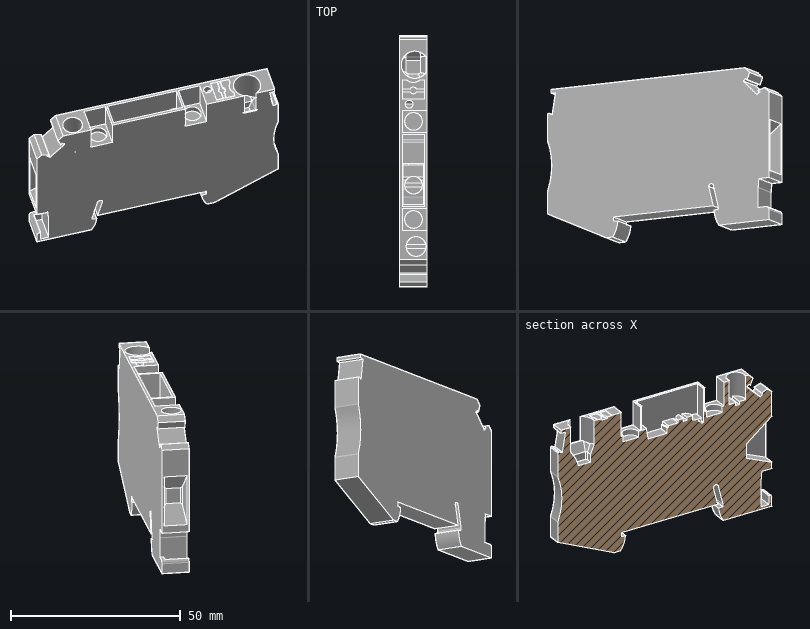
import cadquery as cq
import math

THICKNESS = 8.15
LENGTH = 73.9
HEIGHT = 46.5

RAIL_Z = 6.0
RAIL_REAR_Y = 51.85
RAIL_LIP_TIP_Z = 4.65
RAIL_LIP_ROOT_Z = 4.85
FOOT_LEDGE_Z = 4.0
FOOT_TIP_RADIUS = 0.9
FOOT_NOTCH_Y = 3.6
FOOT_GROOVE_DEPTH = 3.0
FOOT_GROOVE_Y = 1.15
FOOT_GROOVE_X = 1.1
CAP_REAR_Y = 72.8
GRIP_TOP_Z = 31.1
GRIP_BOTTOM_Z = 16.0
GRIP_DEPTH = 1.37

SIDE_WALL = 0.85
CHAMBER_X_END = 7.33
SCREW_X = 4.15
SLOT_WIDTH = 1.15
SLOT_DEPTH = 1.0

SIDE_POCKET_LENGTH = 6.5
SIDE_POCKET_DEPTH = 8.0
SIDE_POCKET_CENTERS = (48.7, 19.85)
POCKET_HOLE_DIAMETER = 5.2
POCKET_HOLE_DEPTH = 2.0

CHAMBER_FRONT_Y = 23.7
CHAMBER_REAR_Y = 44.85
CHAMBER_STEP_Y = 43.2
CHAMBER_STEP_RUN = 0.6
CHAMBER_LEDGE_Z = 38.5
CHAMBER_FLOOR_Z = 35.0
CLAMP_GAP = 0.25
CLAMP_FRONT_Y = 24.3
CLAMP_REAR_Y = 35.8
CLAMP_LIP_LENGTH = 0.45
CLAMP_LIP_Z = 36.5
CLAMP_TAB_WIDTH = 2.9
CLAMP_TAB_RISE = 0.3
CLAMP_SCREW_Y = 29.95
CLAMP_SCREW_TOP_Z = 38.4
CLAMP_SCREW_DIAMETER = 5.2

FRONT_SCREW_X = 4.9
FRONT_SCREW_Y = 11.9
FRONT_SCREW_DIAMETER = 5.8
FRONT_SCREW_DEPTH = 8.0

WELL_X = 4.55
WELL_Y = 65.35
WELL_DIAMETER = 8.0
WELL_DEPTH = 8.0
REAR_FUNNEL_DEPTH = 3.0
REAR_FUNNEL_RIM_X = (-0.7, 7.8)
REAR_FUNNEL_END_X = (2.0, 6.2)
REAR_FUNNEL_RIM_Y = (61.3, 69.5)
REAR_FUNNEL_END_Y = (62.65, 67.6)
REAR_FUNNEL_RIM_RADIUS = 4.5
REAR_FUNNEL_TIP_RADIUS = 3.1
WIRE_HOLE_DEPTH = 2.6
WIRE_HOLE_REAR_Y = 66.65

PLATE_FRONT_Y = 55.25
PLATE_REAR_Y = 60.85
PLATE_RECESS = 0.1
PLATE_NOTCH_WIDTH = 3.8
PLATE_NOTCH_DEPTH = 0.7
PLATE_SLOT_Y = 57.8
PLATE_SLOT_WIDTH = 0.9
PLATE_SLOT_DEPTH = 0.6
PLATE_HOLE_DIAMETER = 2.0
TEST_HOLE_X = 2.87
TEST_HOLE_Y = 53.75
TEST_HOLE_DIAMETER = 2.3
TEST_HOLE_DEPTH = 3.0
TEST_HOLE_SLOPE_RISE = 2.0

FUNNEL_DEPTH = 8.7
FUNNEL_RIM_X = (0.7, 7.5)
FUNNEL_END_X = (2.7, 7.0)
FUNNEL_RIM_Z = (14.9, 30.2)
FUNNEL_END_Z = (18.7, 23.4)
FUNNEL_LEFT_START = 0.62 * FUNNEL_DEPTH
FUNNEL_RIGHT_START = 0.92 * FUNNEL_DEPTH


def extrude_along_x(outline, x_start, x_end):
    """Extrude a closed YZ workplane outline between two X positions."""
    return outline.extrude(x_end - x_start).translate((x_start, 0, 0))


def box(x_range, y_range, z_range):
    """Axis-aligned box from its (start, end) ranges."""
    ranges = (x_range, y_range, z_range)
    sizes = [end - start for start, end in ranges]
    corner = tuple(start for start, _ in ranges)
    return cq.Workplane("XY").box(*sizes, centered=False).translate(corner)


def cylinder(x, y, diameter, z_bottom, z_top):
    """Upright cylinder between two heights."""
    circle = cq.Workplane("XY", origin=(x, y, z_bottom)).circle(diameter / 2)
    return circle.extrude(z_top - z_bottom)


def screw_slot(x, y, diameter, z_top):
    """Screwdriver slot along X, ending at the rim of the screw head."""
    head = cylinder(x, y, diameter, z_top - SLOT_DEPTH, z_top)
    strip = cq.Workplane("XY", origin=(x, y, z_top)).box(diameter, SLOT_WIDTH, 2 * SLOT_DEPTH)
    return head.intersect(strip)


def make_housing():
    grip_middle = (LENGTH - GRIP_DEPTH, (GRIP_TOP_Z + GRIP_BOTTOM_Z) / 2)
    tip_corner = FOOT_TIP_RADIUS * (1 - math.cos(math.pi / 4))
    outline = (
        cq.Workplane("YZ")
        .moveTo(0, 0)
        .lineTo(0, FOOT_LEDGE_Z - FOOT_TIP_RADIUS)
        .threePointArc((tip_corner, FOOT_LEDGE_Z - tip_corner), (FOOT_TIP_RADIUS, FOOT_LEDGE_Z))
        .lineTo(FOOT_NOTCH_Y, FOOT_LEDGE_Z)
        .lineTo(FOOT_NOTCH_Y, 10.0)
        .lineTo(3.35, 12.65)
        .lineTo(0, 12.65)
        .lineTo(0, 38.55)
        .lineTo(1.5, 39.9)
        .lineTo(3.7, 39.15)
        .lineTo(3.2, 38.7)
        .lineTo(4.05, 38.0)
        .lineTo(8.55, 42.5)
        .lineTo(7.8, 43.15)
        .lineTo(7.3, 42.7)
        .lineTo(6.45, 44.9)
        .lineTo(8.05, HEIGHT)
        .lineTo(CAP_REAR_Y, HEIGHT)
        .lineTo(CAP_REAR_Y, 45.4)
        .lineTo(71.3, 45.2)
        .lineTo(72.35, 38.95)
        .lineTo(73.45, 39.4)
        .lineTo(LENGTH, 39.25)
        .lineTo(LENGTH, GRIP_TOP_Z)
        .threePointArc(grip_middle, (LENGTH, GRIP_BOTTOM_Z))
        .lineTo(LENGTH, 9.1)
        .lineTo(54.4, 0)
        .lineTo(52.15, 0)
        .threePointArc((51.0, 2.1), (50.4, RAIL_LIP_TIP_Z))
        .lineTo(RAIL_REAR_Y, RAIL_LIP_ROOT_Z)
        .lineTo(RAIL_REAR_Y, RAIL_Z)
        .lineTo(18.6, RAIL_Z)
        .lineTo(20.1, 12.0)
        .threePointArc((19.5, 12.7), (18.6, 12.3))
        .lineTo(16.95, 5.6)
        .lineTo(16.95, RAIL_LIP_ROOT_Z)
        .lineTo(18.35, RAIL_LIP_TIP_Z)
        .threePointArc((17.9, 2.3), (16.75, 0))
        .close()
    )
    return extrude_along_x(outline, 0, THICKNESS)


def make_foot_groove():
    """Groove between the foot tip and the notch wall, closed at minimum X by a thin web."""
    return box(
        (FOOT_GROOVE_X, THICKNESS),
        (FOOT_GROOVE_Y, FOOT_NOTCH_Y),
        (FOOT_LEDGE_Z - FOOT_GROOVE_DEPTH, FOOT_LEDGE_Z),
    )


def make_side_pocket(y_center):
    """Pocket open at maximum X, with a blind round hole in its floor."""
    floor_z = HEIGHT - SIDE_POCKET_DEPTH
    half_length = SIDE_POCKET_LENGTH / 2
    pocket = box(
        (SIDE_WALL, THICKNESS),
        (y_center - half_length, y_center + half_length),
        (floor_z, HEIGHT),
    )
    return pocket.union(
        cylinder(SCREW_X, y_center, POCKET_HOLE_DIAMETER, floor_z - POCKET_HOLE_DEPTH, floor_z)
    )


def make_chamber():
    """Central chamber with a raised ledge at its rear end."""
    outline = (
        cq.Workplane("YZ")
        .moveTo(CHAMBER_FRONT_Y, HEIGHT)
        .lineTo(CHAMBER_FRONT_Y, CHAMBER_FLOOR_Z)
        .lineTo(CHAMBER_STEP_Y - CHAMBER_STEP_RUN, CHAMBER_FLOOR_Z)
        .lineTo(CHAMBER_STEP_Y, CHAMBER_LEDGE_Z)
        .lineTo(CHAMBER_REAR_Y, CHAMBER_LEDGE_Z)
        .lineTo(CHAMBER_REAR_Y, HEIGHT)
        .close()
    )
    return extrude_along_x(outline, SIDE_WALL, CHAMBER_X_END)


def make_clamp():
    """Clamp body stepping down to the front, with a slotted screw head on top."""
    outline = (
        cq.Workplane("YZ")
        .moveTo(CLAMP_FRONT_Y, CHAMBER_FLOOR_Z)
        .lineTo(CLAMP_FRONT_Y, 36.7)
        .lineTo(26.4, 36.7)
        .lineTo(28.6, 37.0)
        .lineTo(31.5, 37.0)
        .lineTo(32.4, 37.4)
        .lineTo(CLAMP_REAR_Y, 37.4)
        .lineTo(CLAMP_REAR_Y, CLAMP_LIP_Z)
        .lineTo(CLAMP_REAR_Y + CLAMP_LIP_LENGTH, CLAMP_LIP_Z)
        .lineTo(CLAMP_REAR_Y + CLAMP_LIP_LENGTH, CHAMBER_FLOOR_Z)
        .close()
    )
    body = extrude_along_x(outline, SIDE_WALL + CLAMP_GAP, CHAMBER_X_END - CLAMP_GAP)
    tab_center = (SIDE_WALL + CHAMBER_X_END) / 2
    tab = box(
        (tab_center - CLAMP_TAB_WIDTH / 2, tab_center + CLAMP_TAB_WIDTH / 2),
        (CLAMP_REAR_Y, CLAMP_REAR_Y + CLAMP_LIP_LENGTH),
        (CHAMBER_FLOOR_Z, CLAMP_LIP_Z + CLAMP_TAB_RISE),
    )
    head = cylinder(
        SCREW_X, CLAMP_SCREW_Y, CLAMP_SCREW_DIAMETER, CHAMBER_FLOOR_Z, CLAMP_SCREW_TOP_Z
    )
    slot = screw_slot(SCREW_X, CLAMP_SCREW_Y, CLAMP_SCREW_DIAMETER, CLAMP_SCREW_TOP_Z)
    return body.union(tab).union(head).cut(slot)


def make_front_screw_well():
    head_z = HEIGHT - FRONT_SCREW_DEPTH
    well = cylinder(FRONT_SCREW_X, FRONT_SCREW_Y, FRONT_SCREW_DIAMETER, head_z, HEIGHT)
    return well.union(screw_slot(FRONT_SCREW_X, FRONT_SCREW_Y, FRONT_SCREW_DIAMETER, head_z))


def make_rear_entry():
    """Round well, a four-sided funnel rounded by a cone, and a square wire hole."""
    rim_z = HEIGHT - WELL_DEPTH
    end_z = rim_z - REAR_FUNNEL_DEPTH
    hole_z = end_z - WIRE_HOLE_DEPTH
    well = cylinder(WELL_X, WELL_Y, WELL_DIAMETER, rim_z, HEIGHT)

    x_walls = (
        cq.Workplane("XZ")
        .polyline([
            (REAR_FUNNEL_RIM_X[0], rim_z),
            (REAR_FUNNEL_END_X[0], end_z),
            (REAR_FUNNEL_END_X[1], end_z),
            (REAR_FUNNEL_RIM_X[1], rim_z),
        ])
        .close()
        .extrude(-LENGTH)
    )
    y_walls = (
        cq.Workplane("YZ")
        .polyline([
            (REAR_FUNNEL_RIM_Y[0], rim_z),
            (REAR_FUNNEL_END_Y[0], end_z),
            (REAR_FUNNEL_END_Y[1], end_z),
            (REAR_FUNNEL_RIM_Y[1], rim_z),
        ])
        .close()
        .extrude(THICKNESS)
    )
    funnel_x = sum(REAR_FUNNEL_END_X) / 2
    cone = (
        cq.Workplane("XY", origin=(funnel_x, WELL_Y, end_z))
        .circle(REAR_FUNNEL_TIP_RADIUS)
        .workplane(offset=REAR_FUNNEL_DEPTH)
        .circle(REAR_FUNNEL_RIM_RADIUS)
        .loft()
    )
    envelope = cylinder(WELL_X, WELL_Y, WELL_DIAMETER, end_z, rim_z)
    funnel = x_walls.intersect(y_walls).intersect(cone).intersect(envelope)

    wire_hole = extrude_along_x(
        cq.Workplane("YZ")
        .polyline([
            (REAR_FUNNEL_END_Y[0], end_z),
            (REAR_FUNNEL_END_Y[0], hole_z),
            (WIRE_HOLE_REAR_Y, hole_z),
            (REAR_FUNNEL_END_Y[1], end_z),
        ])
        .close(),
        *REAR_FUNNEL_END_X,
    )
    tip_diameter = 2 * REAR_FUNNEL_TIP_RADIUS
    wire_hole = wire_hole.intersect(cylinder(funnel_x, WELL_Y, tip_diameter, hole_z, end_z))
    return well.union(funnel).union(wire_hole)


def make_jumper_plate():
    """Shallow plate recess with a notch facing the well and a keyhole slot across it."""
    x_center = (SIDE_WALL + CHAMBER_X_END) / 2
    half_notch = PLATE_NOTCH_WIDTH / 2
    recess = (
        cq.Workplane("XY", origin=(0, 0, HEIGHT - PLATE_RECESS))
        .moveTo(SIDE_WALL, PLATE_FRONT_Y)
        .lineTo(CHAMBER_X_END, PLATE_FRONT_Y)
        .lineTo(CHAMBER_X_END, PLATE_REAR_Y)
        .lineTo(x_center + half_notch, PLATE_REAR_Y)
        .threePointArc(
            (x_center, PLATE_REAR_Y - PLATE_NOTCH_DEPTH),
            (x_center - half_notch, PLATE_REAR_Y),
        )
        .lineTo(SIDE_WALL, PLATE_REAR_Y)
        .close()
        .extrude(PLATE_RECESS)
    )
    slot_z = HEIGHT - PLATE_SLOT_DEPTH
    half_slot = PLATE_SLOT_WIDTH / 2
    slot = box(
        (SIDE_WALL, CHAMBER_X_END),
        (PLATE_SLOT_Y - half_slot, PLATE_SLOT_Y + half_slot),
        (slot_z, HEIGHT),
    )
    hole = cylinder(x_center, PLATE_SLOT_Y, PLATE_HOLE_DIAMETER, slot_z, HEIGHT)
    return recess.union(slot).union(hole)


def make_test_hole():
    """Blind hole whose rear half slopes down to a flat floor."""
    radius = TEST_HOLE_DIAMETER / 2
    bottom_z = HEIGHT - TEST_HOLE_DEPTH
    hole = cylinder(TEST_HOLE_X, TEST_HOLE_Y, TEST_HOLE_DIAMETER, bottom_z, HEIGHT)
    slope = extrude_along_x(
        cq.Workplane("YZ")
        .polyline([
            (TEST_HOLE_Y, bottom_z),
            (TEST_HOLE_Y + radius, bottom_z),
            (TEST_HOLE_Y + radius, bottom_z + TEST_HOLE_SLOPE_RISE),
        ])
        .close(),
        TEST_HOLE_X - radius,
        TEST_HOLE_X + radius,
    )
    return hole.cut(slope)


def make_front_funnel():
    """Funnel whose floor and roof slope from the front face and whose sides close in deeper."""
    floor_and_roof = (
        cq.Workplane("YZ")
        .polyline([
            (0, FUNNEL_RIM_Z[0]),
            (FUNNEL_DEPTH, FUNNEL_END_Z[0]),
            (FUNNEL_DEPTH, FUNNEL_END_Z[1]),
            (0, FUNNEL_RIM_Z[1]),
        ])
        .close()
        .extrude(THICKNESS)
    )
    sides = (
        cq.Workplane("XY")
        .polyline([
            (FUNNEL_RIM_X[0], 0),
            (FUNNEL_RIM_X[1], 0),
            (FUNNEL_RIM_X[1], FUNNEL_RIGHT_START),
            (FUNNEL_END_X[1], FUNNEL_DEPTH),
            (FUNNEL_END_X[0], FUNNEL_DEPTH),
            (FUNNEL_RIM_X[0], FUNNEL_LEFT_START),
        ])
        .close()
        .extrude(HEIGHT)
    )
    return floor_and_roof.intersect(sides)


result = make_housing()
result = result.cut(make_foot_groove())
for pocket_y in SIDE_POCKET_CENTERS:
    result = result.cut(make_side_pocket(pocket_y))
result = result.cut(make_chamber().cut(make_clamp()))
result = result.cut(make_front_screw_well())
result = result.cut(make_rear_entry())
result = result.cut(make_jumper_plate())
result = result.cut(make_test_hole())
result = result.cut(make_front_funnel())